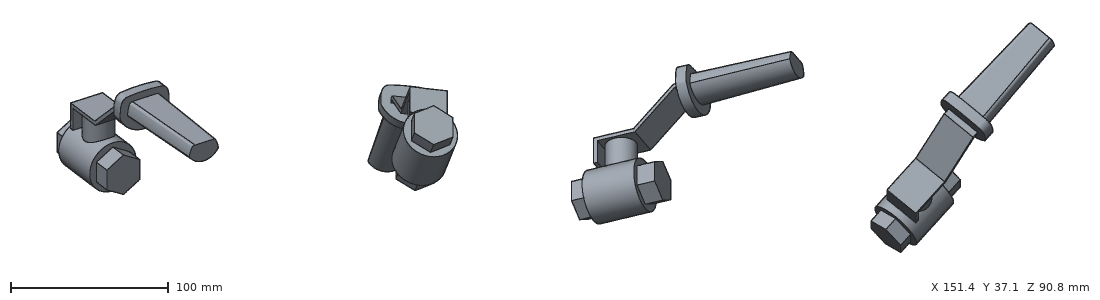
import cadquery as cq
import math

body_diameter = 35.1
body_start = 9.7
body_length = 36.0
hex_sides = 6
hex_length = 58.0
hex_across_flats = 25.0
hex_corner_diameter = hex_across_flats / math.cos(math.pi / hex_sides)

stem_diameter = 20.9
stem_x = 29.0

lever_width = 24.2
lever_thickness = 2.7
leg_x = 15.1
leg_bottom_z = 17.1
lower_top_z = 35.9
upper_top_z = 61.9
lower_bend_x = 43.1
upper_bend_x = 70.9
bend_shift = 0.9

guard_x = 75.2
guard_thickness = 7.4
grip_end_x = 151.4
grip_start_x = guard_x + guard_thickness
overall_height = 90.8
guard_top_z = overall_height - body_diameter / 2
guard_bottom_z = 45.4
guard_width = 37.1
guard_half_width = guard_width / 2
grip_top_z = 68.1


def make_body():
    barrel = cq.Workplane("YZ", origin=(body_start, 0, 0)).circle(body_diameter / 2).extrude(body_length)
    hexagon = (
        cq.Workplane("YZ")
        .polygon(hex_sides, hex_corner_diameter)
        .extrude(hex_length)
        .rotate((0, 0, 0), (1, 0, 0), 90)
    )
    return barrel.union(hexagon)


def make_stem():
    stem_top_z = lower_top_z - lever_thickness
    return cq.Workplane("XY", origin=(stem_x, 0, 0)).circle(stem_diameter / 2).extrude(stem_top_z)


def make_lever():
    lower_under_z = lower_top_z - lever_thickness
    upper_under_z = upper_top_z - lever_thickness
    outline = [
        (leg_x, leg_bottom_z),
        (leg_x, lower_top_z),
        (lower_bend_x, lower_top_z),
        (upper_bend_x, upper_top_z),
        (grip_start_x, upper_top_z),
        (grip_start_x, upper_under_z),
        (upper_bend_x + bend_shift, upper_under_z),
        (lower_bend_x + bend_shift, lower_under_z),
        (leg_x + lever_thickness, lower_under_z),
        (leg_x + lever_thickness, leg_bottom_z),
    ]
    return cq.Workplane("XZ").polyline(outline).close().extrude(lever_width / 2, both=True)


def make_guard():
    shoulder_y, shoulder_z = 13.3, 72.5
    corner_y, corner_z = 17.5, 68.7
    side_top_z = 62.0
    side_bottom_z = 58.5
    underside_y, underside_z = 17.7, 56.0
    corner_mid = (15.9, 71.2)
    side_mid = (18.3, 65.4)
    lower_corner_mid = (18.3, 57.2)

    def mirrored(point):
        return (-point[0], point[1])

    return (
        cq.Workplane("YZ", origin=(guard_x, 0, 0))
        .moveTo(-shoulder_y, shoulder_z)
        .threePointArc((0, guard_top_z), (shoulder_y, shoulder_z))
        .threePointArc(corner_mid, (corner_y, corner_z))
        .threePointArc(side_mid, (guard_half_width, side_top_z))
        .lineTo(guard_half_width, side_bottom_z)
        .threePointArc(lower_corner_mid, (underside_y, underside_z))
        .threePointArc((0, guard_bottom_z), (-underside_y, underside_z))
        .threePointArc(mirrored(lower_corner_mid), (-guard_half_width, side_bottom_z))
        .lineTo(-guard_half_width, side_top_z)
        .threePointArc(mirrored(side_mid), (-corner_y, corner_z))
        .threePointArc(mirrored(corner_mid), (-shoulder_y, shoulder_z))
        .close()
        .extrude(guard_thickness)
    )


def grip_section(x, flat_y, bevel, shoulder, side, bottom_z):
    """Flat-topped section with beveled, rounded shoulders, bulging sides and a round underside.

    The bevel, shoulder and side are (y, z) points on the +Y half.
    """
    bevel_y, bevel_z = bevel
    shoulder_y, shoulder_z = shoulder
    side_y, side_z = side
    bulge = 0.3
    round_y = (bevel_y + shoulder_y) / 2 + bulge / 2
    round_z = (bevel_z + shoulder_z) / 2 + bulge / 2
    flank_y = (shoulder_y + side_y) / 2 + bulge
    flank_z = (shoulder_z + side_z) / 2
    return (
        cq.Workplane("YZ", origin=(x, 0, 0))
        .moveTo(-flat_y, grip_top_z)
        .lineTo(flat_y, grip_top_z)
        .lineTo(bevel_y, bevel_z)
        .threePointArc((round_y, round_z), (shoulder_y, shoulder_z))
        .threePointArc((flank_y, flank_z), (side_y, side_z))
        .threePointArc((0, bottom_z), (-side_y, side_z))
        .threePointArc((-flank_y, flank_z), (-shoulder_y, shoulder_z))
        .threePointArc((-round_y, round_z), (-bevel_y, bevel_z))
        .close()
        .wire()
        .val()
    )


def make_grip():
    root = grip_section(
        grip_start_x,
        flat_y=9.4,
        bevel=(9.5, 68.0),
        shoulder=(11.5, 66.8),
        side=(13.0, 59.0),
        bottom_z=52.5,
    )
    tip = grip_section(
        grip_end_x,
        flat_y=6.7,
        bevel=(7.9, 68.0),
        shoulder=(9.0, 67.2),
        side=(11.0, 60.9),
        bottom_z=54.5,
    )
    return cq.Workplane(cq.Solid.makeLoft([root, tip], True))


result = make_body().union(make_stem()).union(make_lever()).union(make_guard()).union(make_grip())